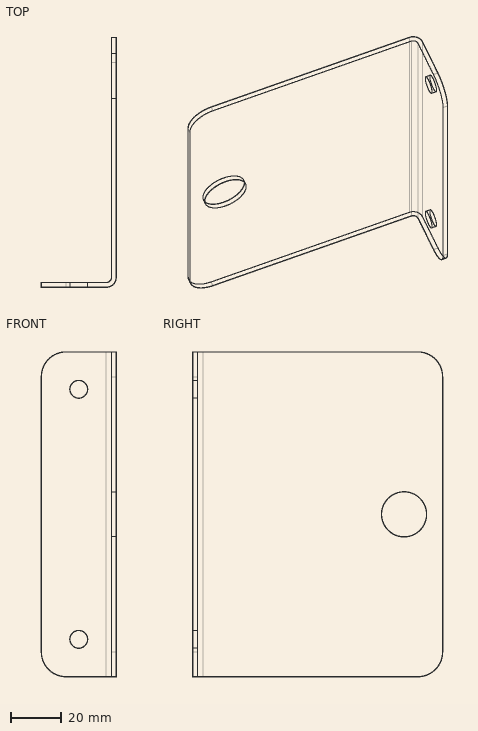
import cadquery as cq

width = 30.0
depth = 100.0
height = 130.0

sheet = 2.0
bend_inner_radius = 2.1
bend_outer_radius = bend_inner_radius + sheet
corner_radius = 10.0

mount_hole_diameter = 7.0
mount_hole_spacing = 100.0
plate_hole_diameter = 18.0
plate_hole_edge_distance = 15.5

right = width / 2
left = -right
back = depth / 2
front = -back


def bent_sheet():
    """Narrow front flange and deep side plate joined by a rounded bend."""
    flange = cq.Workplane("XY").box(width, sheet, height).translate((0, front + sheet / 2, 0))
    plate = cq.Workplane("XY").box(sheet, depth, height).translate((right - sheet / 2, 0, 0))
    blank = flange.union(plate)
    inner_edge = cq.selectors.NearestToPointSelector((right - sheet, front + sheet, 0))
    blank = blank.edges("|Z").edges(inner_edge).fillet(bend_inner_radius)
    return blank.edges("|Z").edges(">X").edges("<Y").fillet(bend_outer_radius)


def round_free_corners(body):
    """Round the top and bottom corners at the free end of each leg."""
    body = body.faces("<X").edges("|Y").fillet(corner_radius)
    return body.faces(">Y").edges("|X").fillet(corner_radius)


def mount_holes():
    """Cutters for the two holes through the front flange, midway across it."""
    return (
        cq.Workplane("XZ", origin=(0, front + sheet, 0))
        .pushPoints([(0, -mount_hole_spacing / 2), (0, mount_hole_spacing / 2)])
        .circle(mount_hole_diameter / 2)
        .extrude(sheet)
    )


def plate_hole():
    """Cutter for the large hole near the back edge of the side plate."""
    return (
        cq.Workplane("YZ", origin=(right - sheet, 0, 0))
        .center(back - plate_hole_edge_distance, 0)
        .circle(plate_hole_diameter / 2)
        .extrude(sheet)
    )


result = round_free_corners(bent_sheet()).cut(mount_holes()).cut(plate_hole())